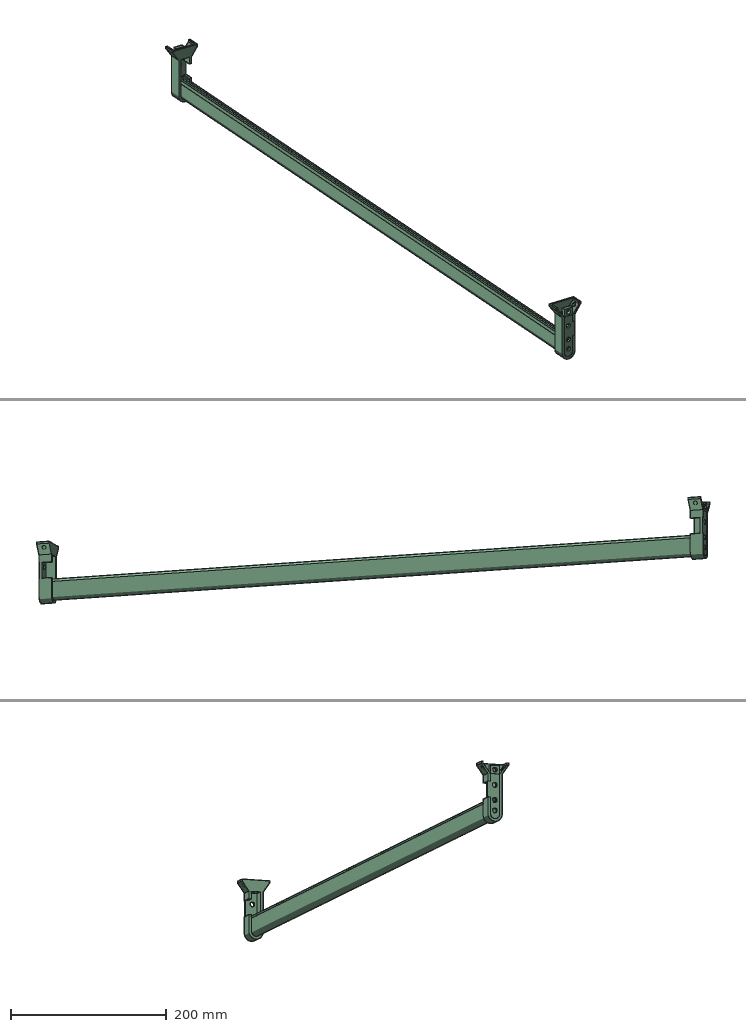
import cadquery as cq
import math

overall_length = 900.0
overall_height = 77.0
flange_width = 38.0
top_z = overall_height / 2
bottom_z = -overall_height / 2

rail_radius = 6.0
wall = 4.0
neck_radius = rail_radius + wall
round_center_z = bottom_z + neck_radius
rail_height = 28.0
rail_top_z = round_center_z - rail_radius + rail_height
shoulder_drop = 4.5
shoulder_inset = 2.0

groove_width = 3.0
groove_depth = 4.5
crown_height = 1.0

bracket_length = 17.0
lip_height = 3.0
flare_height = 13.0
flare_base_z = top_z - lip_height - flare_height
plate_thickness = 4.0
plate_recess = 0.45
tab_thickness = 5.0
tab_height = 11.0
head_wall = 3.0
window_top_z = 13.5

plate_hole_diameter = 6.0
plate_hole_heights = [9.0, -11.0, -24.0]
tab_hole_diameter = 6.0
tab_hole_z = 29.0
dimple_diameter = 5.1
dimple_depth = 1.0
dimple_y = 13.5

bracket_outer_x = -overall_length / 2
bracket_inner_x = bracket_outer_x + bracket_length
plate_outer_x = bracket_outer_x + plate_recess
plate_inner_x = plate_outer_x + plate_thickness
rail_length = -2 * plate_inner_x


def profile_at(x):
    """Sketch plane across the rail, with local x along Y and local y along Z."""
    return cq.Workplane("YZ", origin=(x, 0, 0))


def rounded_strip(x, radius, strip_top_z):
    """Outline with straight sides, a flat top and a half-round underside."""
    return (
        profile_at(x)
        .moveTo(-radius, strip_top_z)
        .lineTo(-radius, round_center_z)
        .threePointArc((0, round_center_z - radius), (radius, round_center_z))
        .lineTo(radius, strip_top_z)
        .close()
    )


def flared_head(x, neck_half_width, top_half_width):
    """Outline of the flared head, narrow at its base and wide at its lip."""
    lip_z = top_z - lip_height
    return (
        profile_at(x)
        .moveTo(-neck_half_width, flare_base_z)
        .lineTo(-top_half_width, lip_z)
        .lineTo(-top_half_width, top_z)
        .lineTo(top_half_width, top_z)
        .lineTo(top_half_width, lip_z)
        .lineTo(neck_half_width, flare_base_z)
        .close()
    )


def make_insert():
    """Strip that fills the rail groove, with a crown rising above the rail crest."""
    half_width = groove_width / 2
    crown_base_z = rail_top_z - crown_height
    return (
        profile_at(plate_inner_x)
        .moveTo(-half_width, rail_top_z - groove_depth)
        .lineTo(half_width, rail_top_z - groove_depth)
        .lineTo(half_width, crown_base_z)
        .threePointArc((0, rail_top_z), (-half_width, crown_base_z))
        .close()
        .extrude(rail_length)
    )


def make_rail():
    """Solid rail with sloped shoulders and a groove for the insert."""
    crest_half_width = rail_radius - shoulder_inset
    shoulder_z = rail_top_z - shoulder_drop
    crest_z = rail_top_z - crown_height
    body = (
        profile_at(plate_inner_x)
        .moveTo(-crest_half_width, crest_z)
        .lineTo(-rail_radius, shoulder_z)
        .lineTo(-rail_radius, round_center_z)
        .threePointArc((0, round_center_z - rail_radius), (rail_radius, round_center_z))
        .lineTo(rail_radius, shoulder_z)
        .lineTo(crest_half_width, crest_z)
        .close()
        .extrude(rail_length)
    )
    groove = (
        profile_at(plate_inner_x)
        .center(0, rail_top_z - groove_depth / 2)
        .rect(groove_width, groove_depth)
        .extrude(rail_length)
    )
    return body.cut(groove)


def make_dimple(side):
    """Cutter for a blind hole square to the inner slope of one flange."""
    slope_run = flange_width / 2 - head_wall - rail_radius
    surface_z = flare_base_z + flare_height * (dimple_y - rail_radius) / slope_run
    slope_length = math.hypot(slope_run, flare_height)
    center = cq.Vector(bracket_outer_x + bracket_length / 2, side * dimple_y, surface_z)
    inward = cq.Vector(0, -side * flare_height / slope_length, slope_run / slope_length)
    bottom = center - inward * dimple_depth
    return cq.Solid.makeCylinder(dimple_diameter / 2, 2 * dimple_depth, bottom, inward)


def make_left_bracket():
    """Bracket at the -X end, open towards the rail and at the top."""
    half_width = flange_width / 2

    shell = rounded_strip(bracket_outer_x, neck_radius, flare_base_z).extrude(bracket_length)
    shell = shell.union(flared_head(bracket_outer_x, neck_radius, half_width).extrude(bracket_length))
    shell = shell.cut(rounded_strip(bracket_outer_x, rail_radius, flare_base_z).extrude(bracket_length))
    shell = shell.cut(
        flared_head(bracket_outer_x, rail_radius, half_width - head_wall).extrude(bracket_length)
    )

    window_height = window_top_z - rail_top_z
    window = cq.Workplane("XY").box(bracket_length, 2 * wall, window_height).translate(
        (bracket_outer_x + bracket_length / 2, neck_radius, rail_top_z + window_height / 2)
    )
    shell = shell.cut(window)

    plate = rounded_strip(plate_outer_x, neck_radius, flare_base_z).extrude(plate_thickness)
    tab = (
        profile_at(bracket_outer_x)
        .center(0, flare_base_z + tab_height / 2)
        .rect(2 * rail_radius, tab_height)
        .extrude(tab_thickness)
    )

    head_end = flared_head(bracket_inner_x - head_wall, neck_radius, half_width).extrude(head_wall)
    bracket = shell.union(plate).union(tab).union(head_end)

    plate_holes = profile_at(plate_outer_x).pushPoints([(0, z) for z in plate_hole_heights])
    bracket = bracket.cut(plate_holes.circle(plate_hole_diameter / 2).extrude(plate_thickness))
    tab_hole = profile_at(bracket_outer_x).center(0, tab_hole_z)
    bracket = bracket.cut(tab_hole.circle(tab_hole_diameter / 2).extrude(tab_thickness))

    for side in (-1, 1):
        bracket = bracket.cut(make_dimple(side))
    return bracket


rail = make_rail()
insert = make_insert()
left_bracket = make_left_bracket()
right_bracket = left_bracket.mirror("YZ")

result = cq.Compound.makeCompound([rail.val(), insert.val(), left_bracket.val(), right_bracket.val()])